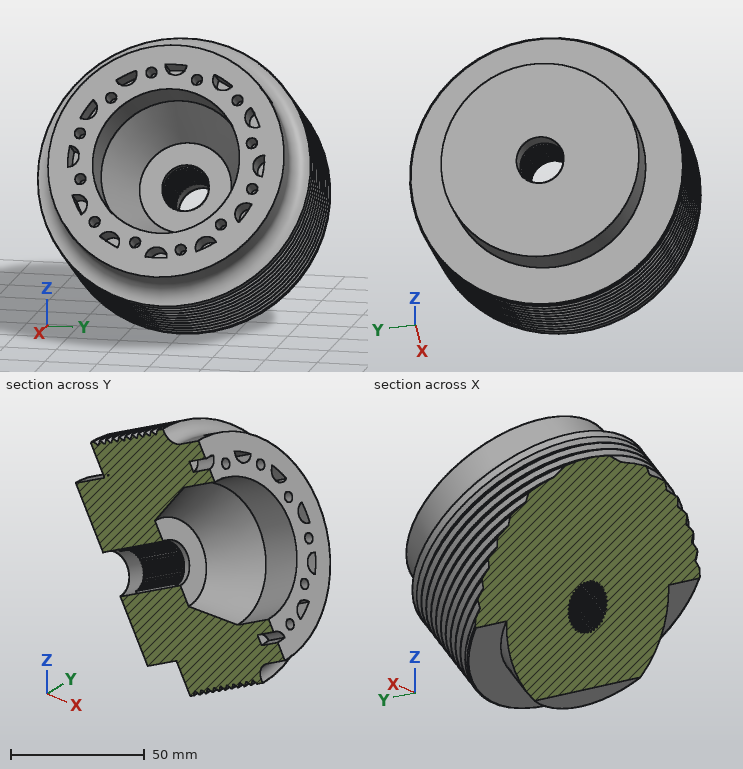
import cadquery as cq
import math

TILT = 62
TOTAL_LENGTH = 72.1
HUB_DIAMETER = 75.0
HUB_LENGTH = 15.9
RIM_DIAMETER = 104.0
RIM_WIDTH = 40.3
RIM_CHAMFER = 0.5
COLLAR_DIAMETER = 90.0
COLLAR_FILLET = 5.8

GROOVE_COUNT = 10
GROOVE_DEPTH = 1.7
CREST_WIDTH = 0.3
LAND_HUB_SIDE = 1.9
LAND_COLLAR_SIDE = 3.2

CAVITY_DIAMETER = 56.0
CAVITY_STRAIGHT_DEPTH = 17.1
CAVITY_FLOOR_DIAMETER = 35.0
CAVITY_TAPER_DEPTH = 21.6

BORE_DIAMETER = 17.9
SPLINE_START = 8.8
SPLINE_LENGTH = 21.8
SPLINE_TEETH = 38
TOOTH_HEIGHT = 0.8
TOOTH_TIP_FRACTION = 0.4

HOLES_PER_RING = 6
PIN_HOLE_DIAMETER = 4.0
PIN_HOLE_DEPTH = 9.0
OUTER_PIN_RADIUS = 35.1
INNER_PIN_RADIUS = 33.1
OUTER_PIN_ANGLE = 15
INNER_PIN_ANGLE = 45
SCALLOP_COUNT = 12
SCALLOP_RADIUS = 4.1
SCALLOP_DEPTH = 9.0

RIM_END = HUB_LENGTH + RIM_WIDTH


def groove_points():
    """(radius, axial position) of each groove's edges and valley, from hub side to collar side."""
    crest_radius = RIM_DIAMETER / 2
    grooved_length = RIM_WIDTH - LAND_HUB_SIDE - LAND_COLLAR_SIDE
    pitch = (grooved_length + CREST_WIDTH) / GROOVE_COUNT
    half_opening = (pitch - CREST_WIDTH) / 2
    points = []
    for index in range(GROOVE_COUNT):
        valley = HUB_LENGTH + LAND_HUB_SIDE + half_opening + index * pitch
        points.append((crest_radius, valley - half_opening))
        points.append((crest_radius - GROOVE_DEPTH, valley))
        points.append((crest_radius, valley + half_opening))
    return points


def make_body():
    """Hub, grooved rim and collar turned as one solid of revolution."""
    collar_radius = COLLAR_DIAMETER / 2
    fillet_end = RIM_END + COLLAR_FILLET
    fillet_bulge = COLLAR_FILLET * (1 - math.sqrt(0.5))
    profile = (
        cq.Workplane("XZ")
        .moveTo(0, 0)
        .lineTo(HUB_DIAMETER / 2, 0)
        .lineTo(HUB_DIAMETER / 2, HUB_LENGTH)
        .lineTo(RIM_DIAMETER / 2 - RIM_CHAMFER, HUB_LENGTH)
        .lineTo(RIM_DIAMETER / 2, HUB_LENGTH + RIM_CHAMFER)
    )
    for radius, position in groove_points():
        profile = profile.lineTo(radius, position)
    return (
        profile.lineTo(RIM_DIAMETER / 2, RIM_END)
        .lineTo(collar_radius + COLLAR_FILLET, RIM_END)
        .threePointArc(
            (collar_radius + fillet_bulge, RIM_END + fillet_bulge),
            (collar_radius, fillet_end),
        )
        .lineTo(collar_radius, TOTAL_LENGTH)
        .lineTo(0, TOTAL_LENGTH)
        .close()
        .revolve(360, (0, 0, 0), (0, 1, 0))
    )


def make_cavity():
    """Straight bore, tapering to a flat floor, joined to the shaft bore through the hub."""
    taper_start = TOTAL_LENGTH - CAVITY_STRAIGHT_DEPTH
    floor = taper_start - CAVITY_TAPER_DEPTH
    return (
        cq.Workplane("XZ")
        .moveTo(0, 0)
        .lineTo(BORE_DIAMETER / 2, 0)
        .lineTo(BORE_DIAMETER / 2, floor)
        .lineTo(CAVITY_FLOOR_DIAMETER / 2, floor)
        .lineTo(CAVITY_DIAMETER / 2, taper_start)
        .lineTo(CAVITY_DIAMETER / 2, TOTAL_LENGTH)
        .lineTo(0, TOTAL_LENGTH)
        .close()
        .revolve(360, (0, 0, 0), (0, 1, 0))
    )


def make_spline():
    """Ring of internal teeth, solid out past the bore so that it fuses with the hub."""
    root_radius = BORE_DIAMETER / 2
    tip_radius = root_radius - TOOTH_HEIGHT
    pitch = 2 * math.pi / SPLINE_TEETH
    half_tip = TOOTH_TIP_FRACTION * pitch / 2
    points = []
    for tooth in range(SPLINE_TEETH):
        groove_angle = tooth * pitch
        tip_angle = groove_angle + pitch / 2
        for radius, angle in (
            (root_radius, groove_angle),
            (tip_radius, tip_angle - half_tip),
            (tip_radius, tip_angle + half_tip),
        ):
            points.append((radius * math.cos(angle), radius * math.sin(angle)))
    start_plane = cq.Workplane("XY", origin=(0, 0, SPLINE_START))
    ring = start_plane.circle(root_radius + TOOTH_HEIGHT).extrude(SPLINE_LENGTH)
    opening = start_plane.polyline(points).close().extrude(SPLINE_LENGTH)
    return ring.cut(opening)


def collar_face():
    """Workplane on the outer face of the collar."""
    return cq.Workplane("XY", origin=(0, 0, TOTAL_LENGTH))


def make_pin_holes(pitch_radius, start_angle):
    """One ring of evenly spaced pin holes sunk into the collar face."""
    return (
        collar_face()
        .polarArray(pitch_radius, start_angle, 360, HOLES_PER_RING)
        .circle(PIN_HOLE_DIAMETER / 2)
        .extrude(-PIN_HOLE_DEPTH)
    )


def make_scallops():
    """Half-round pockets: circles centred on the hub diameter, kept only inside it."""
    circles = (
        collar_face()
        .polarArray(HUB_DIAMETER / 2, 0, 360, SCALLOP_COUNT)
        .circle(SCALLOP_RADIUS)
        .extrude(-SCALLOP_DEPTH)
    )
    hub_cylinder = collar_face().circle(HUB_DIAMETER / 2).extrude(-SCALLOP_DEPTH)
    return circles.intersect(hub_cylinder)


part = make_body().cut(make_cavity()).union(make_spline())
part = part.cut(make_pin_holes(OUTER_PIN_RADIUS, OUTER_PIN_ANGLE))
part = part.cut(make_pin_holes(INNER_PIN_RADIUS, INNER_PIN_ANGLE))
part = part.cut(make_scallops())
result = part.rotate((0, 0, 0), (0, 1, 0), TILT)